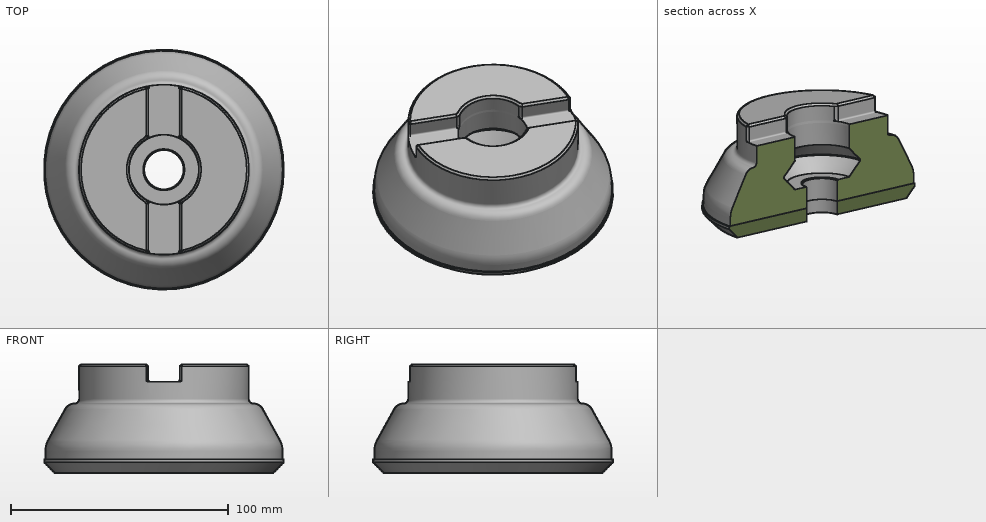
import cadquery as cq
import math

height = 50.0
ring_height = 6.3

ring_radius = 55.1
flank_height = 5.0

rim_radius = 109.0 / 2
rim_top = 10.3
rim_blend_radius = 10.0
hub_radius = 78.0 / 2
hub_fillet_radius = 2.0
shoulder_height = 32.0
shoulder_blend_radius = 5.0
edge_chamfer = 1.0

slot_width = 14.4
slot_depth = 8.0
slot_floor_fillet = 0.8
slot_floor = height - slot_depth
cutter_overrun = 1.5

bore_radius = 32.01 / 2
mouth_radius = 32.2 / 2
mouth_taper_height = 1.2
groove_radius = 45.1 / 2
groove_top = 30.4
groove_land_height = 0.5
groove_depth = groove_radius - bore_radius
groove_land_top = groove_top - groove_depth
groove_land_bottom = groove_land_top - groove_land_height
seat_height = groove_land_bottom - groove_depth

bolt_hole_radius = 18.0 / 2
bolt_hole_chamfer = 0.5


def arc_point(center, radius, angle):
    """Point on an arc of the section, with the angle in radians above the horizontal."""
    return (center[0] + radius * math.cos(angle), center[1] + radius * math.sin(angle))


def make_cutting_ring():
    section = (
        cq.Workplane("XZ")
        .moveTo(bolt_hole_radius, 0)
        .lineTo(ring_radius - flank_height, 0)
        .lineTo(ring_radius, flank_height)
        .lineTo(ring_radius, ring_height)
        .lineTo(bolt_hole_radius, ring_height)
        .close()
    )
    return section.revolve(360, (0, 0, 0), (0, 1, 0))


def make_body_blank():
    """Body turned about Z, complete with its bore but without the drive slot."""
    rim_center = (rim_radius - rim_blend_radius, rim_top)
    shoulder_center = (hub_radius + hub_fillet_radius, shoulder_height - shoulder_blend_radius)
    fillet_center = (hub_radius + hub_fillet_radius, shoulder_height + hub_fillet_radius)

    run = rim_center[0] - shoulder_center[0]
    drop = shoulder_center[1] - rim_center[1]
    blend_difference = rim_blend_radius - shoulder_blend_radius
    cone_angle = math.asin(blend_difference / math.hypot(run, drop)) + math.atan2(run, drop)

    shoulder_mid_angle = (cone_angle + math.pi / 2) / 2
    fillet_mid_angle = math.radians(225)

    section = (
        cq.Workplane("XZ")
        .moveTo(bolt_hole_radius, ring_height)
        .lineTo(rim_radius, ring_height)
        .lineTo(rim_radius, rim_top)
        .threePointArc(
            arc_point(rim_center, rim_blend_radius, cone_angle / 2),
            arc_point(rim_center, rim_blend_radius, cone_angle),
        )
        .lineTo(*arc_point(shoulder_center, shoulder_blend_radius, cone_angle))
        .threePointArc(
            arc_point(shoulder_center, shoulder_blend_radius, shoulder_mid_angle),
            (shoulder_center[0], shoulder_height),
        )
        .threePointArc(
            arc_point(fillet_center, hub_fillet_radius, fillet_mid_angle),
            (hub_radius, fillet_center[1]),
        )
        .lineTo(hub_radius, height - edge_chamfer)
        .lineTo(hub_radius - edge_chamfer, height)
        .lineTo(mouth_radius + edge_chamfer, height)
        .lineTo(mouth_radius, height - edge_chamfer)
        .lineTo(mouth_radius, slot_floor)
        .lineTo(bore_radius, slot_floor - mouth_taper_height)
        .lineTo(bore_radius, groove_top)
        .lineTo(groove_radius, groove_land_top)
        .lineTo(groove_radius, groove_land_bottom)
        .lineTo(bore_radius, seat_height)
        .lineTo(bolt_hole_radius + bolt_hole_chamfer, seat_height)
        .lineTo(bolt_hole_radius, seat_height - bolt_hole_chamfer)
        .close()
    )
    return section.revolve(360, (0, 0, 0), (0, 1, 0))


def wall_chamfer(cylinder_radius, outward):
    """Start point of a wall's end chamfer in plan and its sideways run per unit of Y.

    The chamfer has equal legs along the wall and along the cylinder that the wall meets.
    Outward is 1 where the wall ends at the hub side and -1 where it ends at the bore.
    """
    wall_angle = math.asin(slot_width / 2 / cylinder_radius)
    start_y = cylinder_radius * math.cos(wall_angle) - outward * edge_chamfer
    end_angle = wall_angle + edge_chamfer / cylinder_radius
    end_x = cylinder_radius * math.sin(end_angle)
    end_y = cylinder_radius * math.cos(end_angle)
    return start_y, (end_x - slot_width / 2) / (end_y - start_y)


def make_slot_cutter():
    """Slot volume on the +Y side of the bore, flared at both ends and along its top edges."""
    half_width = slot_width / 2
    inner_start, inner_slope = wall_chamfer(mouth_radius, -1)
    outer_start, outer_slope = wall_chamfer(hub_radius, 1)
    inner_end = inner_start - edge_chamfer - cutter_overrun
    outer_end = hub_radius + cutter_overrun
    right_side = [
        (half_width + inner_slope * (inner_end - inner_start), inner_end),
        (half_width, inner_start),
        (half_width, outer_start),
        (half_width + outer_slope * (outer_end - outer_start), outer_end),
    ]
    left_side = [(-x, y) for x, y in reversed(right_side)]
    plan = right_side + left_side

    walls = cq.Workplane("XY", origin=(0, 0, slot_floor)).polyline(plan).close()
    walls = walls.extrude(slot_depth - edge_chamfer)
    walls = walls.faces("<Z").edges("not |X").fillet(slot_floor_fillet)

    top_flare = cq.Workplane("XY", origin=(0, 0, height - edge_chamfer)).polyline(plan).close()
    top_flare = top_flare.extrude(edge_chamfer, taper=-45)
    return walls.union(top_flare)


def cut_drive_slot(blank):
    """Cut the slot on both sides of the bore."""
    cutter = make_slot_cutter()
    for angle in (0, 180):
        blank = blank.cut(cutter.rotate((0, 0, 0), (0, 0, 1), angle))
    return blank


cutting_ring = make_cutting_ring()
cutter_body = cut_drive_slot(make_body_blank())

result = cq.Compound.makeCompound([cutter_body.val(), cutting_ring.val()])